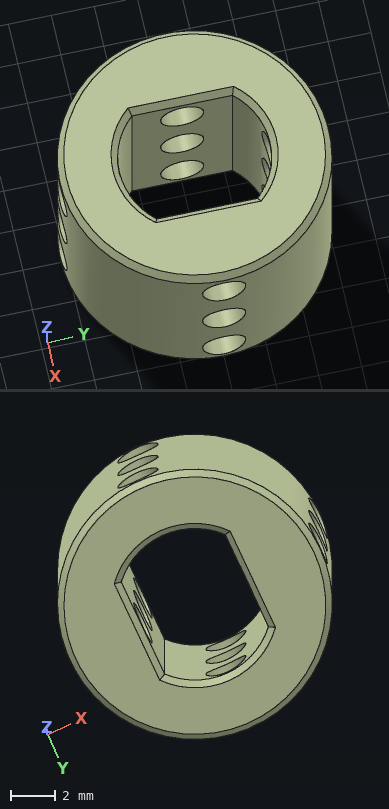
import cadquery as cq

grid_unit = 12.5
hole_diameter = 2.0
holes_per_row = 3
bore_diameter = 7.0
bore_across_flats = 5.2
chamfer = 0.3

outer_diameter = grid_unit
hole_pitch = grid_unit / 4
height = holes_per_row * hole_pitch


def make_body():
    """Cylinder centred on the origin with both outer rims chamfered."""
    body = cq.Workplane("XY").cylinder(height, outer_diameter / 2)
    return body.faces("|Z").edges().chamfer(chamfer)


def make_bore():
    """Double-D shaft bore, with flats facing +X and -X, flared at both ends."""
    round_bore = cq.Workplane("XY").cylinder(height, bore_diameter / 2)
    flats = cq.Workplane("XY").box(bore_across_flats, bore_diameter, height)
    bore = round_bore.intersect(flats)
    for end in (1, -1):
        bore = bore.union(make_bore_flare(end))
    return bore


def make_bore_flare(end):
    """Double-D countersink at the top (end = 1) or bottom (end = -1) face."""
    cone = cq.Solid.makeCone(
        bore_diameter / 2 + chamfer,
        bore_diameter / 2,
        chamfer,
        cq.Vector(0, 0, end * height / 2),
        cq.Vector(0, 0, -end),
    )
    half_flats = bore_across_flats / 2
    wedge_profile = [
        (-half_flats - chamfer, end * height / 2),
        (half_flats + chamfer, end * height / 2),
        (half_flats, end * (height / 2 - chamfer)),
        (-half_flats, end * (height / 2 - chamfer)),
    ]
    wedge = cq.Workplane("XZ").polyline(wedge_profile).close().extrude(outer_diameter / 2, both=True)
    return wedge.intersect(cq.Workplane(cone))


def make_pin_holes():
    """Rows of holes crossing the whole body along X and along Y."""
    holes = cq.Workplane("XY")
    for plane in ("XZ", "YZ"):
        row = (
            cq.Workplane(plane)
            .rarray(1, hole_pitch, 1, holes_per_row)
            .circle(hole_diameter / 2)
            .extrude(outer_diameter, both=True)
        )
        holes = holes.add(row)
    return holes.combine()


result = make_body().cut(make_bore()).cut(make_pin_holes())